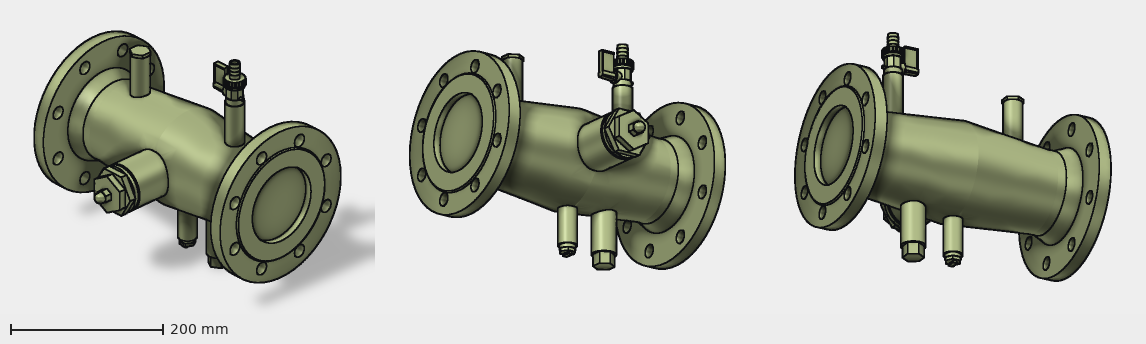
import cadquery as cq
import math

overall_length = 358.0
half_length = overall_length / 2

pipe_dia = 114.2
belly_dia = 139.5
belly_half_length = 126.5
pipe_half_length = 139.0
neck_end_dia = 131.0

flange_dia = 220.0
flange_thickness = 18.0
raised_face_dia = 160.7
raised_face_height = 2.0
raised_face_taper = 1.8
bore_dia = 107.0
bore_depth = 10.0
bolt_count = 8
bolt_hole_dia = 18.0
bolt_circle_dia = 179.7

stub_x = 90.0
stub_dia = 26.0
stub_reach = 119.5
cap_across_flats = 25.0
cap_reach = 124.2
plug_stub_x = 59.5
plug_stub_dia = 33.3
plug_reach = 136.0

vent_dia = 22.0
vent_hex_start = 125.0
vent_hex_end = 129.5
tab_end = 133.0
tab_lip = 1.5
tab_length = 13.0
tab_thickness = 4.3
tab_lip_thickness = 6.8

branch_dia = 66.0
branch_reach = 126.7
groove_start = 118.0
groove_width = 1.8
groove_depth = 1.0
gland_across_flats = 58.5
gland_reach = 136.5
stem_nut_across_flats = 47.5
stem_nut_reach = 146.5
stem_across_flats = 16.0
stem_reach = 156.0
stem_tip_dia = 15.0
stem_tip_reach = 166.5

valve_stub_dia = 26.5
valve_collar_dia = 24.0
valve_body_start = 128.0
valve_body_sides = 8
valve_body_across_flats = 22.0
nut_collar_dia = 26.5
nut_collar_start = 144.0
nut_dia = 28.0
nut_start = 147.5
nut_end = 156.5
nut_rim = 1.5
bead_dia = 2.0
bead_count = 18
barb_dia = 15.0
hose_dia = 13.5
hose_bore_dia = 9.0
hose_bore_depth = 21.5
hose_end = 179.0
barb_count = 3
barb_pitch = 5.5

spindle_z = 132.5
boss_dia = 17.0
boss_offset = 14.3
lever_bar_dia = 10.0
keel_width = 8.0
keel_top = 130.3
keel_outer_bottom = 128.5
keel_inner_bottom = 126.7
lever_offset = 35.8
pin_dia = 4.0
pin_offset = 15.8
pin_z = 129.2
blade_inner_offset = 16.0
blade_bottom = 138.0
blade_top = 164.7
blade_thickness = 5.0
blade_rim_thickness = 8.0
blade_rim_width = 1.8


def across_corners(sides, across_flats):
    return across_flats / math.cos(math.pi / sides)


def cylinder_z(x, dia, z_start, z_end):
    return cq.Workplane("XY").workplane(offset=z_start).center(x, 0).circle(dia / 2).extrude(z_end - z_start)


def cylinder_x(z, dia, x_start, x_end):
    return cq.Workplane("YZ").workplane(offset=x_start).center(0, z).circle(dia / 2).extrude(x_end - x_start)


def cylinder_y(dia, start, end):
    """Cylinder along -Y between two distances from the pipe axis."""
    return cq.Workplane("XZ").workplane(offset=start).circle(dia / 2).extrude(end - start)


def prism_z(x, sides, across_flats, z_start, z_end, turn):
    """Regular prism along Z; turn is the angle of its first corner from +X, in degrees."""
    plane = cq.Workplane("XY").workplane(offset=z_start)
    prism = plane.polygon(sides, across_corners(sides, across_flats)).extrude(z_end - z_start)
    return prism.rotate((0, 0, 0), (0, 0, 1), turn).translate((x, 0, 0))


def hexagon_y(across_flats, start, end, turn):
    """Hexagonal prism along -Y; turn is the angle of its first corner from +X, in degrees."""
    plane = cq.Workplane("XZ").workplane(offset=start)
    prism = plane.polygon(6, across_corners(6, across_flats)).extrude(end - start)
    return prism.rotate((0, 0, 0), (0, 1, 0), turn)


def box(x_start, x_end, width, z_start, z_end):
    """Block centred on the XZ plane."""
    block = cq.Workplane("XY").box(x_end - x_start, width, z_end - z_start, centered=(False, True, False))
    return block.translate((x_start, 0, z_start))


def flanged_housing():
    flange_outer = half_length - raised_face_height
    flange_inner = flange_outer - flange_thickness
    right_half = [
        (0, belly_dia / 2),
        (belly_half_length, pipe_dia / 2),
        (pipe_half_length, pipe_dia / 2),
        (flange_inner, neck_end_dia / 2),
        (flange_inner, flange_dia / 2),
        (flange_outer, flange_dia / 2),
        (flange_outer, raised_face_dia / 2),
        (half_length, raised_face_dia / 2 - raised_face_taper),
        (half_length, bore_dia / 2),
        (half_length - bore_depth, bore_dia / 2),
        (half_length - bore_depth, 0),
    ]
    left_half = [(-x, radius) for x, radius in reversed(right_half[1:])]
    profile = cq.Workplane("XY").polyline(left_half + right_half).close()
    housing = profile.revolve(360, (0, 0, 0), (1, 0, 0))

    half_pitch = 180 / bolt_count
    for side in (-1, 1):
        centre_x = side * (flange_outer - flange_thickness / 2)
        holes = (
            cq.Workplane("YZ")
            .workplane(offset=centre_x)
            .polarArray(bolt_circle_dia / 2, half_pitch, 360, bolt_count)
            .circle(bolt_hole_dia / 2)
            .extrude(flange_thickness, both=True)
        )
        housing = housing.cut(holes)
    return housing


def capped_stub():
    stub = cylinder_z(-stub_x, stub_dia, 0, stub_reach)
    return stub.union(prism_z(-stub_x, 6, cap_across_flats, stub_reach, cap_reach, 90))


def plug_stub():
    stub = cylinder_z(plug_stub_x, plug_stub_dia, -stub_reach, 0)
    return stub.union(prism_z(plug_stub_x, 6, cap_across_flats, -plug_reach, -stub_reach, 90))


def vent_stub():
    stub = cylinder_z(0, stub_dia, -stub_reach, 0)
    stub = stub.union(cylinder_z(0, vent_dia, -vent_hex_start, -stub_reach))
    hexagon = cq.Workplane("XY").workplane(offset=-vent_hex_end).polygon(6, vent_dia)
    stub = stub.union(hexagon.extrude(vent_hex_end - vent_hex_start))
    tab_plane = cq.Workplane("XY").workplane(offset=-tab_end)
    tab = tab_plane.rect(tab_thickness, tab_length).extrude(tab_end - vent_hex_end)
    lip = tab_plane.rect(tab_lip_thickness, tab_length).extrude(tab_lip)
    return stub.union(tab).union(lip)


def stem_branch():
    groove_end = groove_start + groove_width
    branch = cylinder_y(branch_dia, 0, groove_start)
    branch = branch.union(cylinder_y(branch_dia - 2 * groove_depth, groove_start, groove_end))
    branch = branch.union(cylinder_y(branch_dia, groove_end, branch_reach))
    branch = branch.union(hexagon_y(gland_across_flats, branch_reach, gland_reach, 0))
    branch = branch.union(hexagon_y(stem_nut_across_flats, gland_reach, stem_nut_reach, 90))
    branch = branch.union(hexagon_y(stem_across_flats, stem_nut_reach, stem_reach, 90))
    tip_centre = stem_tip_reach - stem_tip_dia / 2
    branch = branch.union(cylinder_y(stem_tip_dia, stem_reach, tip_centre))
    dome = cq.Workplane("XY").sphere(stem_tip_dia / 2).translate((0, -tip_centre, 0))
    return branch.union(dome)


def barbed_hose_tail():
    """Hose tail whose barbs are widest at the bottom and narrow upward."""
    lowest_barb = hose_end - barb_count * barb_pitch
    profile = [(0, nut_end), (hose_dia / 2, nut_end)]
    for barb in range(barb_count):
        barb_base = lowest_barb + barb * barb_pitch
        profile.append((hose_dia / 2, barb_base))
        profile.append((barb_dia / 2, barb_base))
    profile += [(hose_dia / 2, hose_end), (0, hose_end)]
    tail = cq.Workplane("XZ").polyline(profile).close().revolve(360, (0, 0, 0), (0, 1, 0))
    return tail.translate((stub_x, 0, 0))


def knurled_nut():
    nut = cylinder_z(stub_x, nut_collar_dia, nut_collar_start, nut_start)
    nut = nut.union(cylinder_z(stub_x, nut_dia, nut_start, nut_end))
    nut = nut.union(cylinder_z(stub_x, nut_dia + bead_dia, nut_start, nut_start + nut_rim))
    beads = (
        cq.Workplane("XY")
        .workplane(offset=nut_start + nut_rim)
        .center(stub_x, 0)
        .polarArray(nut_dia / 2, 0, 360, bead_count)
        .circle(bead_dia / 2)
        .extrude(nut_end - nut_start - 2 * nut_rim)
    )
    return nut.union(beads)


def lever():
    lever_end = stub_x - lever_offset
    blade_inner = stub_x - blade_inner_offset
    bar = cylinder_x(spindle_z, lever_bar_dia, lever_end, stub_x)
    rounded_top = bar.intersect(box(lever_end, stub_x, lever_bar_dia, keel_top, blade_bottom))
    keel_side = [
        (lever_end, keel_outer_bottom),
        (stub_x, keel_inner_bottom),
        (stub_x, spindle_z),
        (lever_end, spindle_z),
    ]
    keel = cq.Workplane("XZ").polyline(keel_side).close().extrude(keel_width / 2, both=True)
    arm = rounded_top.union(keel)
    arm = arm.union(cylinder_x(spindle_z, boss_dia, stub_x - boss_offset, stub_x))
    blade = box(lever_end, blade_inner, blade_thickness, blade_bottom, blade_top)
    web = box(lever_end, stub_x - boss_offset, blade_thickness, spindle_z, blade_bottom)
    top_rim = box(lever_end, blade_inner, blade_rim_thickness, blade_top - blade_rim_width, blade_top)
    end_rim = box(lever_end, lever_end + blade_rim_width, blade_rim_thickness, spindle_z, blade_top)
    return arm.union(blade).union(web).union(top_rim).union(end_rim)


def drain_valve():
    valve = cylinder_z(stub_x, valve_stub_dia, 0, stub_reach)
    valve = valve.union(cylinder_z(stub_x, valve_collar_dia, stub_reach, valve_body_start))
    body = prism_z(
        stub_x,
        valve_body_sides,
        valve_body_across_flats,
        valve_body_start,
        nut_collar_start,
        180 / valve_body_sides,
    )
    valve = valve.union(body).union(knurled_nut()).union(barbed_hose_tail()).union(lever())
    valve = valve.union(cylinder_x(pin_z, pin_dia, stub_x, stub_x + pin_offset))
    return valve.cut(cylinder_z(stub_x, hose_bore_dia, hose_end - hose_bore_depth, hose_end))


result = (
    flanged_housing()
    .union(capped_stub())
    .union(plug_stub())
    .union(vent_stub())
    .union(stem_branch())
    .union(drain_valve())
)